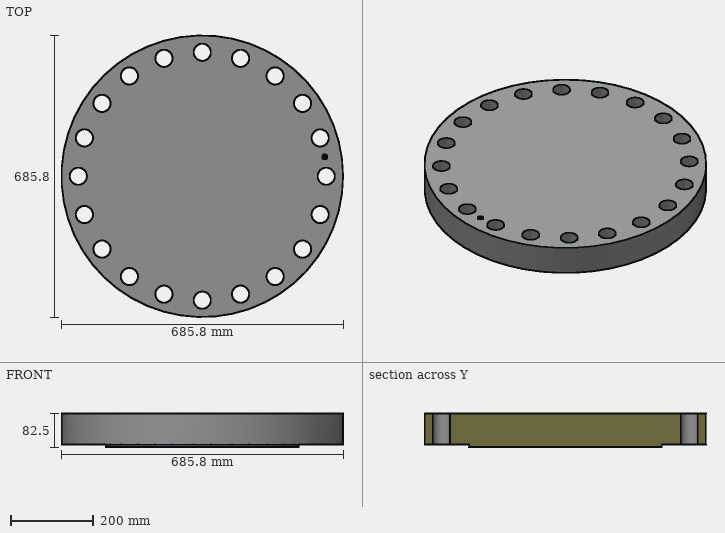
import cadquery as cq

flange_diameter = 685.8
flange_thickness = 76.2
raised_face_diameter = 469.9
raised_face_height = 6.35

bolt_circle_diameter = 603.25
bolt_hole_diameter = 41.275
bolt_count = 20
bolt_pitch_angle = 360 / bolt_count

step_diameters = (12.7, 9.0, 4.5)
step_depth = 3.0
small_hole_angle = bolt_pitch_angle / 2


def make_body():
    """Flange disc standing on z = 0 with the raised face below it."""
    disc = cq.Workplane("XY").circle(flange_diameter / 2).extrude(flange_thickness)
    raised_face = cq.Workplane("XY").circle(raised_face_diameter / 2).extrude(-raised_face_height)
    return disc.union(raised_face)


def cut_bolt_holes(body):
    """Ring of through holes, the first one on the +X axis."""
    holes = (
        cq.Workplane("XY")
        .polarArray(bolt_circle_diameter / 2, 0, 360, bolt_count)
        .circle(bolt_hole_diameter / 2)
        .extrude(flange_thickness)
    )
    return body.cut(holes)


def cut_small_hole(body):
    """Stepped, flat-bottomed hole entering from the top face."""
    for step, diameter in enumerate(step_diameters, start=1):
        bore = (
            cq.Workplane("XY", origin=(0, 0, flange_thickness))
            .polarArray(bolt_circle_diameter / 2, small_hole_angle, 360, 1)
            .circle(diameter / 2)
            .extrude(-step * step_depth)
        )
        body = body.cut(bore)
    return body


result = cut_small_hole(cut_bolt_holes(make_body()))